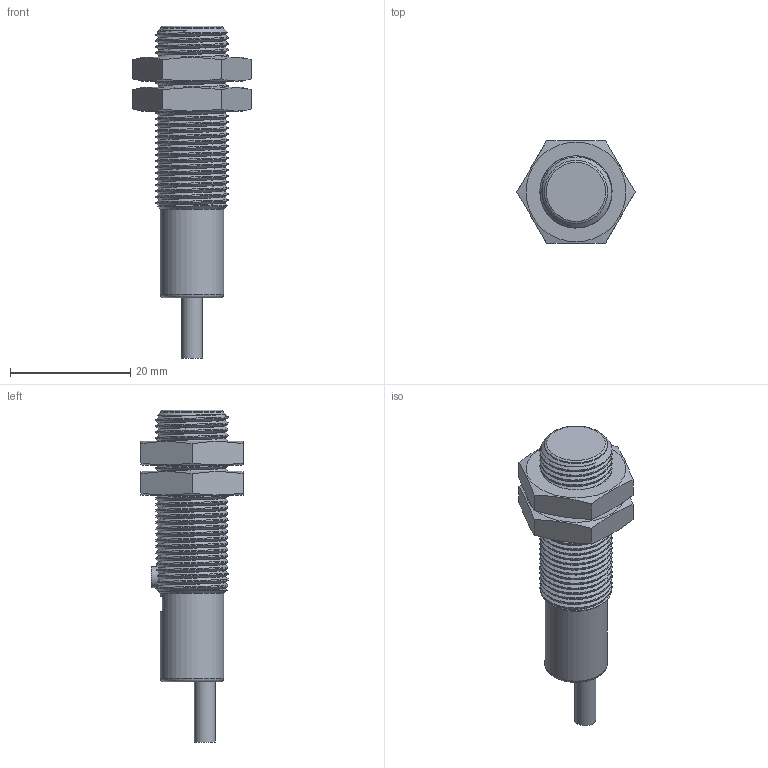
import cadquery as cq
import math


barrel_radius = 5.25
barrel_length = 45.2
face_chamfer_width = 0.35
face_chamfer_drop = 0.2
end_round = 0.5

thread_radius = 6.0
thread_pitch = 1.0
thread_depth = 0.4
crest_width = 0.2
root_width = 0.05
thread_top = -0.4
thread_bottom = -30.5
groove_phase = 0.55
groove_overrun = 0.05
root_radius = thread_radius - thread_depth

nut_count = 2
nut_width = 17.0
nut_thickness = 4.0
nut_gap = 1.0
first_nut_top = -5.2
nut_face_radius = 8.3
nut_chamfer_angle = 15.0

cable_radius = 1.75
cable_length = 10.0
cable_offset_y = -2.15

adjuster_radius = 1.75
adjuster_tip_y = 6.75
adjuster_z = -27.8

window_height = 2.5
window_width = 5.6
window_z = -32.25
window_depth = 0.33


def make_barrel():
    """Plain cylindrical body with a rounded cable end."""
    barrel = cq.Workplane("XY").circle(barrel_radius).extrude(-barrel_length)
    return barrel.faces("<Z").edges().fillet(end_round)


def make_face_trim():
    """Ring that trims the rim of the sensing face to a shallow chamfer."""
    face_radius = barrel_radius - face_chamfer_width
    return (
        cq.Workplane("XZ")
        .moveTo(face_radius, 0)
        .lineTo(barrel_radius, 0)
        .lineTo(barrel_radius, -face_chamfer_drop)
        .close()
        .revolve(360, (0, 0, 0), (0, 1, 0))
    )


def make_envelope():
    """Solid of the threaded stretch, with 45 degree ends that run down to the barrel."""
    end_run = thread_radius - barrel_radius
    return (
        cq.Workplane("XZ")
        .moveTo(0, thread_top)
        .lineTo(barrel_radius, thread_top)
        .lineTo(thread_radius, thread_top - end_run)
        .lineTo(thread_radius, thread_bottom + end_run)
        .lineTo(barrel_radius, thread_bottom)
        .lineTo(0, thread_bottom)
        .close()
        .revolve(360, (0, 0, 0), (0, 1, 0))
    )


def make_groove_cutter():
    """Helical bar of trapezoid section, widening outward until it clears the thread crests."""
    start_z = math.floor(thread_bottom) - thread_pitch + groove_phase
    turns = math.ceil((thread_top - start_z) / thread_pitch) + 1
    flank_slope = (thread_pitch - crest_width - root_width) / 2 / thread_depth
    inner_half = root_width / 2
    outer_half = inner_half + flank_slope * (thread_depth + groove_overrun)
    outer_radius = thread_radius + groove_overrun

    def helix(radius, shift):
        wire = cq.Wire.makeHelix(thread_pitch, turns * thread_pitch, radius)
        return wire.translate(cq.Vector(0, 0, start_z + shift))

    edges = [
        helix(root_radius, -inner_half),
        helix(outer_radius, -outer_half),
        helix(outer_radius, outer_half),
        helix(root_radius, inner_half),
    ]
    sides = [cq.Face.makeRuledSurface(edges[i - 1], edges[i]) for i in range(len(edges))]
    start_corners = [edge.startPoint() for edge in edges]
    finish_corners = [edge.endPoint() for edge in edges]
    ends = [
        cq.Face.makeFromWires(cq.Wire.makePolygon(corners, close=True))
        for corners in (start_corners, finish_corners)
    ]
    return cq.Solid.makeSolid(cq.Shell.makeShell(sides + ends))


def make_thread():
    """Right-hand thread cut into a cylinder with chamfered ends."""
    return make_envelope().cut(cq.Workplane(obj=make_groove_cutter()))


def make_nut(top_z):
    """Hexagon nut with corners along X, both faces chamfered to a round."""
    corner_radius = nut_width / math.sqrt(3)
    corner_drop = (corner_radius - nut_face_radius) * math.tan(math.radians(nut_chamfer_angle))
    bottom_z = top_z - nut_thickness
    hexagon = (
        cq.Workplane("XY")
        .workplane(offset=bottom_z)
        .polygon(6, 2 * corner_radius)
        .extrude(nut_thickness)
    )
    turned_blank = (
        cq.Workplane("XZ")
        .moveTo(0, top_z)
        .lineTo(nut_face_radius, top_z)
        .lineTo(corner_radius, top_z - corner_drop)
        .lineTo(corner_radius, bottom_z + corner_drop)
        .lineTo(nut_face_radius, bottom_z)
        .lineTo(0, bottom_z)
        .close()
        .revolve(360, (0, 0, 0), (0, 1, 0))
    )
    return hexagon.intersect(turned_blank)


def make_cable():
    """Straight cable leaving the cable end off centre."""
    return (
        cq.Workplane("XY")
        .workplane(offset=-barrel_length)
        .center(0, cable_offset_y)
        .circle(cable_radius)
        .extrude(-cable_length)
    )


def make_adjuster():
    """Round stub standing out sideways through the thread."""
    return (
        cq.Workplane("XZ")
        .center(0, adjuster_z)
        .circle(adjuster_radius)
        .extrude(-adjuster_tip_y)
    )


def make_window_cut():
    """Round-ended slot, sunk to an even depth below the barrel surface."""
    slot = (
        cq.Workplane("XZ")
        .center(0, window_z)
        .slot2D(window_width, window_height)
        .extrude(-2 * barrel_radius)
    )
    core = (
        cq.Workplane("XY")
        .circle(barrel_radius - window_depth)
        .extrude(-barrel_length)
    )
    return slot.cut(core)


result = make_barrel().cut(make_face_trim()).cut(make_window_cut())
result = result.union(make_thread())
for nut_index in range(nut_count):
    nut_top = first_nut_top - nut_index * (nut_thickness + nut_gap)
    result = result.union(make_nut(nut_top))
result = result.union(make_cable())
result = result.union(make_adjuster())